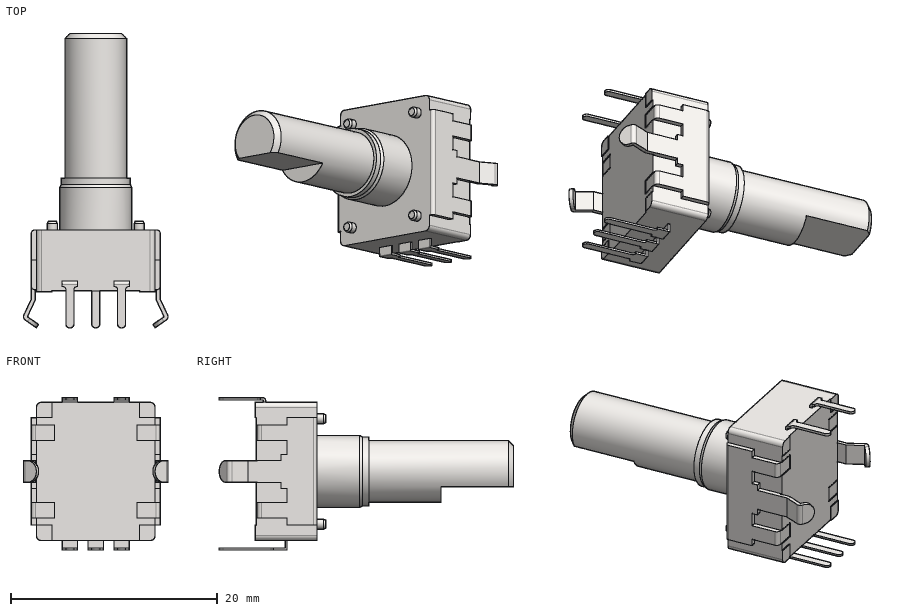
import cadquery as cq
import math


body_width = 11.5
body_height = 13.4
body_face_y = -5.9
body_corner_radius = 0.5
pad_size = 1.5
pad_face_y = -6.0

shaft_diameter = 6.0
shaft_tip_y = 19.0
shaft_chamfer = 0.5
flat_z = -1.5
flat_length = 7.0
bushing_diameter = 7.0
bushing_length = 4.1
collar_diameter = 6.7
collar_start_y = 4.4
collar_end_y = 5.0

post_diameter = 1.0
post_length = 0.85
post_taper_length = 0.25
post_taper_inset = 0.12
post_spacing_x = 8.4
post_spacing_z = 10.2

clip_thickness = 0.4
clip_outer_x = 6.25
clip_inner_x = clip_outer_x - clip_thickness
clip_half_height = 5.2
clip_edge_radius = 0.35
notch_start_y = -2.9
step_start_y = -3.5
step_half_height = 1.65
tab_low_z = 3.0
tab_high_z = 4.5
tab_end_x = 4.0
tab_recess = 0.1
tab_face_y = body_face_y + tab_recess
tab_bend_radius = 0.4

lug_width = 2.1
lug_bend_y = -6.8
lug_flare = 0.75
lug_elbow_x = clip_inner_x + lug_flare
lug_elbow_y = -8.4
lug_tail_length = 1.32
lug_tail_angle = 35.0

terminal_pitch = 2.5
terminal_tip_y = -9.5
pin_width = 0.8
shoulder_width = 1.5
shoulder_radius = 0.25
upper_terminal_z = 7.15
upper_terminal_thickness = 0.25
upper_leg_y = -4.97
upper_shoulder_end_y = -5.5
upper_bend_radius = 0.3
lower_terminal_z = -7.6
lower_terminal_thickness = 0.2
lower_leg_y = -2.9
lower_shoulder_end_y = -4.2
lower_bend_radius = 0.05


def box(x_range, y_range, z_range):
    """Box between the given limits on each axis."""
    size = [abs(r[1] - r[0]) for r in (x_range, y_range, z_range)]
    center = [(r[0] + r[1]) / 2 for r in (x_range, y_range, z_range)]
    return cq.Workplane("XY").box(*size).translate(tuple(center))


def rod(profile, x=0.0, z=0.0):
    """Revolve a (radius, y) profile about a line parallel to Y."""
    solid = cq.Workplane("XY").polyline(profile).close().revolve(360, (0, 0, 0), (0, 1, 0))
    return solid.translate((x, 0, z))


def make_body():
    half_width = body_width / 2
    half_height = body_height / 2
    full_block = box((-half_width, half_width), (pad_face_y, 0), (-half_height, half_height))
    full_block = full_block.edges("|Y").fillet(body_corner_radius)

    inner_x = half_width - pad_size
    inner_z = half_height - pad_size
    rear_layer = (pad_face_y, body_face_y)
    body = full_block.cut(box((-half_width, half_width), rear_layer, (-inner_z, inner_z)))
    body = body.cut(box((-inner_x, inner_x), rear_layer, (-half_height, half_height)))

    for side in (-1, 1):
        for level in (-1, 1):
            recess_x = (side * tab_end_x, side * half_width)
            recess_z = (level * tab_low_z, level * tab_high_z)
            body = body.cut(box(recess_x, (body_face_y, tab_face_y), recess_z))
    return body


def make_shaft():
    radius = shaft_diameter / 2
    shaft = rod([
        (0, 0),
        (radius, 0),
        (radius, shaft_tip_y - shaft_chamfer),
        (radius - shaft_chamfer, shaft_tip_y),
        (0, shaft_tip_y),
    ])
    flat = box((-radius, radius), (shaft_tip_y - flat_length, shaft_tip_y), (-radius, flat_z))
    return shaft.cut(flat)


def make_bushing():
    return rod([
        (0, 0),
        (bushing_diameter / 2, 0),
        (bushing_diameter / 2, bushing_length),
        (collar_diameter / 2, collar_start_y),
        (collar_diameter / 2, collar_end_y),
        (0, collar_end_y),
    ])


def make_post(x, z):
    radius = post_diameter / 2
    return rod([
        (0, 0),
        (radius, 0),
        (radius, post_length - post_taper_length),
        (radius - post_taper_inset, post_length),
        (0, post_length),
    ], x, z)


def make_clip_side():
    """Notched +X side wall of the clip with its two folded tabs."""
    lug_half = lug_width / 2
    upper_outline = [
        (0, clip_half_height),
        (notch_start_y, clip_half_height),
        (notch_start_y, tab_high_z),
        (tab_face_y, tab_high_z),
        (tab_face_y, tab_low_z),
        (notch_start_y, tab_low_z),
        (notch_start_y, step_half_height),
        (step_start_y, step_half_height),
        (step_start_y, lug_half),
        (tab_face_y, lug_half),
    ]
    lower_outline = [(y, -z) for y, z in reversed(upper_outline)]
    wall_inner_x = body_width / 2
    wall = (
        cq.Workplane("YZ", origin=(wall_inner_x, 0, 0))
        .polyline(upper_outline + lower_outline).close()
        .extrude(clip_outer_x - wall_inner_x)
    )
    wall = wall.edges("|Z and >X and >Y").fillet(clip_edge_radius)

    for level in (-1, 1):
        tab_z = (level * tab_low_z, level * tab_high_z)
        wall = wall.union(box((tab_end_x, clip_outer_x), (tab_face_y, tab_face_y + clip_thickness), tab_z))
    return wall.edges("|Z and >X and <Y").fillet(tab_bend_radius)


def make_lug():
    """Spring lug on the +X side of the clip."""
    lug_half = lug_width / 2
    flare_angle = math.atan2(lug_elbow_x - clip_inner_x, lug_bend_y - lug_elbow_y)
    outer_bend_y = lug_bend_y + clip_thickness * math.tan(flare_angle / 2)
    outer_elbow = (
        lug_elbow_x + clip_thickness * math.cos(flare_angle),
        lug_elbow_y + clip_thickness * math.sin(flare_angle),
    )
    flare = (
        cq.Workplane("XY")
        .polyline([
            (clip_inner_x, step_start_y),
            (clip_outer_x, step_start_y),
            (clip_outer_x, outer_bend_y),
            outer_elbow,
            (lug_elbow_x, lug_elbow_y),
            (clip_inner_x, lug_bend_y),
        ]).close()
        .extrude(lug_half, both=True)
    )

    elbow = (
        cq.Workplane("XY").center(lug_elbow_x, lug_elbow_y)
        .circle(clip_thickness).extrude(lug_half, both=True)
    )
    tail_angle = math.radians(lug_tail_angle)
    tail_direction = (-math.cos(tail_angle), -math.sin(tail_angle), 0)
    tail_normal = (math.sin(tail_angle), -math.cos(tail_angle), 0)
    tail_plane = cq.Plane((lug_elbow_x, lug_elbow_y, 0), tail_direction, tail_normal)
    tail = (
        cq.Workplane(tail_plane)
        .moveTo(0, -lug_half)
        .lineTo(lug_tail_length - lug_half, -lug_half)
        .threePointArc((lug_tail_length, 0), (lug_tail_length - lug_half, lug_half))
        .lineTo(0, lug_half).close()
        .extrude(clip_thickness)
    )

    flare_normal = (math.cos(flare_angle), math.sin(flare_angle))
    reach = 2 * clip_thickness
    elbow_sector = (
        cq.Workplane("XY")
        .polyline([
            (lug_elbow_x, lug_elbow_y),
            (lug_elbow_x + reach * flare_normal[0], lug_elbow_y + reach * flare_normal[1]),
            (lug_elbow_x + reach, lug_elbow_y - reach),
            (lug_elbow_x + reach * tail_normal[0], lug_elbow_y + reach * tail_normal[1]),
        ]).close()
        .extrude(lug_half, both=True)
    )
    return flare.union(elbow.intersect(elbow_sector)).union(tail)


def make_terminal(x, outer_z, thickness, leg_y, shoulder_end_y, bend_radius):
    """L-shaped terminal: a leg out of the housing and a flat pin toward -Y."""
    level = math.copysign(1, outer_z)
    half_pin = pin_width / 2
    half_shoulder = shoulder_width / 2
    pin_start_y = shoulder_end_y - shoulder_radius
    pin_end_y = terminal_tip_y + half_pin
    arc_offset = shoulder_radius * (1 - math.sqrt(0.5))
    arc_middle_x = half_pin + arc_offset
    arc_middle_y = shoulder_end_y - arc_offset
    outline = (
        cq.Workplane("XY", origin=(x, 0, outer_z))
        .moveTo(-half_shoulder, leg_y)
        .lineTo(half_shoulder, leg_y)
        .lineTo(half_shoulder, shoulder_end_y)
        .lineTo(half_pin + shoulder_radius, shoulder_end_y)
        .threePointArc((arc_middle_x, arc_middle_y), (half_pin, pin_start_y))
        .lineTo(half_pin, pin_end_y)
        .threePointArc((0, terminal_tip_y), (-half_pin, pin_end_y))
        .lineTo(-half_pin, pin_start_y)
        .threePointArc((-arc_middle_x, arc_middle_y), (-half_pin - shoulder_radius, shoulder_end_y))
        .lineTo(-half_shoulder, shoulder_end_y)
        .close()
    )
    blade = outline.extrude(-level * thickness)
    leg_root_z = level * (body_height / 2 - thickness)
    leg = box(
        (x - half_shoulder, x + half_shoulder),
        (leg_y - thickness, leg_y),
        (leg_root_z, outer_z),
    )
    outer_corner = "|X and >Y and >Z" if level > 0 else "|X and >Y and <Z"
    return blade.union(leg).edges(outer_corner).fillet(bend_radius)


result = make_body().union(make_bushing()).union(make_shaft())

for post_x in (-post_spacing_x / 2, post_spacing_x / 2):
    for post_z in (-post_spacing_z / 2, post_spacing_z / 2):
        result = result.union(make_post(post_x, post_z))

clip_half = make_clip_side().union(make_lug())
result = result.union(clip_half).union(clip_half.mirror("YZ"))

for terminal_x in (-terminal_pitch, terminal_pitch):
    result = result.union(make_terminal(
        terminal_x, upper_terminal_z, upper_terminal_thickness,
        upper_leg_y, upper_shoulder_end_y, upper_bend_radius))

for terminal_x in (-terminal_pitch, 0, terminal_pitch):
    result = result.union(make_terminal(
        terminal_x, lower_terminal_z, lower_terminal_thickness,
        lower_leg_y, lower_shoulder_end_y, lower_bend_radius))